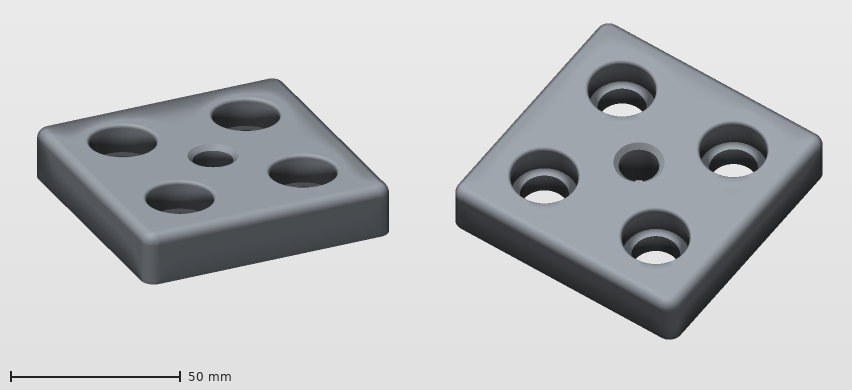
import cadquery as cq

side = 80.0
thickness = 16.0
corner_radius = 4.0
top_fillet = 3.0

screw_pitch = side / 2
screw_hole_diameter = 14.5
counterbore_diameter = 20.0
counterbore_depth = 9.0
counterbore_lip_radius = 1.0

center_hole_diameter = 12.0
center_chamfer = 1.5


def plate():
    """Square plate with rounded corners and a rounded top rim, base on Z = 0."""
    block = cq.Workplane("XY").box(side, side, thickness, centered=(True, True, False))
    rounded_corners = block.edges("|Z").fillet(corner_radius)
    return rounded_corners.faces(">Z").edges().fillet(top_fillet)


def cut_center_hole(body):
    """Through hole in the middle with a chamfered mouth."""
    top = body.faces(">Z").workplane(origin=(0, 0, 0))
    drilled = top.hole(center_hole_diameter)
    mouth = drilled.faces(">Z").edges("%CIRCLE").edges(cq.selectors.RadiusNthSelector(-1))
    return mouth.chamfer(center_chamfer)


def cut_screw_holes(body):
    """Four counterbored through holes with rounded counterbore lips."""
    top = body.faces(">Z").workplane(origin=(0, 0, 0))
    drilled = top.rarray(screw_pitch, screw_pitch, 2, 2).cboreHole(
        screw_hole_diameter, counterbore_diameter, counterbore_depth
    )
    lips = drilled.faces(">Z").edges("%CIRCLE").edges(cq.selectors.RadiusNthSelector(-1))
    return lips.fillet(counterbore_lip_radius)


result = cut_screw_holes(cut_center_hole(plate()))